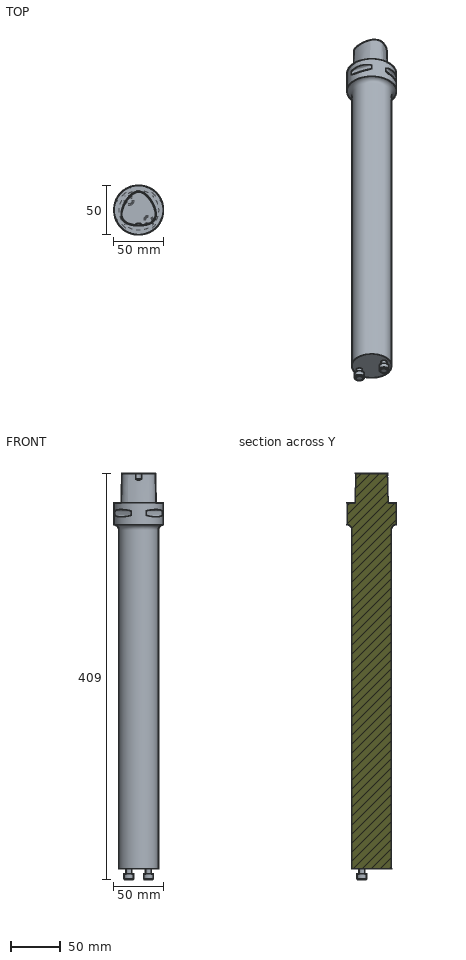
import cadquery as cq
import math

total_length = 409.0
shank_length = 30.0
flange_height = 22.0
shoulder_z = total_length - shank_length
flange_bottom_z = shoulder_z - flange_height

flange_radius = 50.0 / 2
body_radius = 40.0 / 2
neck_fillet = flange_radius - body_radius

lobe_reach = 19.0
flat_reach = 16.0
lobe_radius = 10.5
lobe_angles = (90, 210, 330)
taper_angle = math.degrees(math.atan(1 / 40))

notch_radius = 3.3
notch_axis_y = -16.5
notch_depth = 5.7
notch_point_angle = 118

groove_angles = (45, 135, 225, 315)
groove_z = 369.0
groove_depth = 3.0
groove_floor_width = 4.5
groove_corner_radius = 1.2
groove_wall_flare = 1.45

screw_circle_radius = 14.0
screw_angles = (135, 315)
screw_radius = 6.0 / 2
head_radius = 10.0 / 2
head_height = 6.0
head_chamfer = 1.2
screw_gap = 5.0
body_bottom_z = head_height + screw_gap


def polar(radius, angle):
    """Point at a radius and an angle in degrees."""
    return (radius * math.cos(math.radians(angle)), radius * math.sin(math.radians(angle)))


def make_body():
    """Revolve the bar and flange, joined by a concave fillet."""
    fillet_start_z = flange_bottom_z - neck_fillet
    fillet_mid_offset = neck_fillet * (1 - math.sqrt(0.5))
    return (
        cq.Workplane("XZ")
        .moveTo(0, body_bottom_z)
        .lineTo(body_radius, body_bottom_z)
        .lineTo(body_radius, fillet_start_z)
        .threePointArc(
            (body_radius + fillet_mid_offset, flange_bottom_z - fillet_mid_offset),
            (flange_radius, flange_bottom_z),
        )
        .lineTo(flange_radius, shoulder_z)
        .lineTo(0, shoulder_z)
        .close()
        .revolve(360, (0, 0, 0), (0, 1, 0))
    )


def make_shank():
    """Tapered prism whose outline is three lobe arcs tangent to three bowed sides."""
    lobe_center = lobe_reach - lobe_radius
    reach_gap = flat_reach - lobe_radius
    side_center = (lobe_center**2 - reach_gap**2) / (2 * reach_gap - lobe_center)
    side_center_x, side_center_y = polar(side_center, 210)
    tangent_angle = math.degrees(math.atan2(lobe_center - side_center_y, -side_center_x))
    tangent_x, tangent_y = polar(lobe_radius, tangent_angle)
    tangent_y += lobe_center
    seam_radius = math.hypot(tangent_x, tangent_y)
    seam_offset = 90 - math.degrees(math.atan2(tangent_y, tangent_x))

    outline = cq.Workplane("XY", origin=(0, 0, shoulder_z)).moveTo(*polar(seam_radius, 90 - seam_offset))
    for lobe_angle in lobe_angles:
        next_lobe_angle = lobe_angle + 120
        outline = outline.threePointArc(
            polar(lobe_reach, lobe_angle), polar(seam_radius, lobe_angle + seam_offset)
        )
        outline = outline.threePointArc(
            polar(flat_reach, lobe_angle + 60), polar(seam_radius, next_lobe_angle - seam_offset)
        )
    return outline.close().extrude(shank_length, taper=taper_angle)


def make_notch():
    """Vertical drill shape with a conical point."""
    cylinder_bottom_z = total_length - notch_depth
    point_height = notch_radius / math.tan(math.radians(notch_point_angle / 2))
    return (
        cq.Workplane("XZ", origin=(0, notch_axis_y, 0))
        .moveTo(0, total_length)
        .lineTo(notch_radius, total_length)
        .lineTo(notch_radius, cylinder_bottom_z)
        .lineTo(0, cylinder_bottom_z - point_height)
        .close()
        .revolve(360, (0, 0, 0), (0, 1, 0))
    )


def make_groove(angle):
    """Straight trapezoidal groove with rounded floor corners, cut along a chord of the flange."""
    floor_x = flange_radius - groove_depth
    floor_half = groove_floor_width / 2
    rim_half = floor_half + groove_wall_flare
    return (
        cq.Workplane("XZ")
        .polyline([
            (floor_x, groove_z - floor_half),
            (flange_radius, groove_z - rim_half),
            (flange_radius, groove_z + rim_half),
            (floor_x, groove_z + floor_half),
        ])
        .close()
        .extrude(flange_radius, both=True)
        .edges("|Y")
        .edges("<X")
        .fillet(groove_corner_radius)
        .rotate((0, 0, 0), (0, 0, 1), angle)
    )


def make_screws():
    """Two chamfered heads on short shafts, opposite each other on a diagonal."""
    centers = [polar(screw_circle_radius, angle) for angle in screw_angles]
    heads = (
        cq.Workplane("XY")
        .pushPoints(centers)
        .circle(head_radius)
        .extrude(head_height)
        .faces("<Z")
        .chamfer(head_chamfer)
    )
    shafts = (
        cq.Workplane("XY", origin=(0, 0, head_height))
        .pushPoints(centers)
        .circle(screw_radius)
        .extrude(screw_gap)
    )
    return heads.union(shafts)


result = make_body().union(make_shank()).cut(make_notch())
for groove_angle in groove_angles:
    result = result.cut(make_groove(groove_angle))
result = result.union(make_screws())